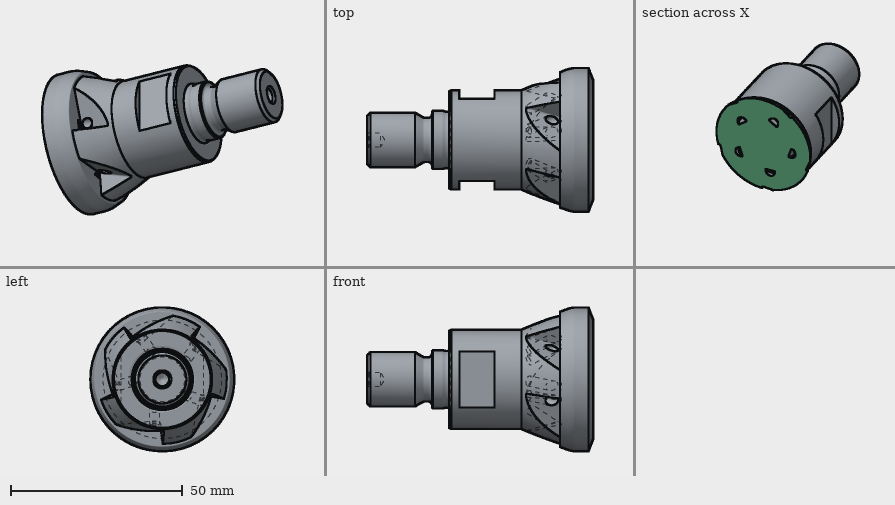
import cadquery as cq
import math

total_length = 66.0
neck_start_x = 16.75
neck_end_x = 17.95
neck_fillet = 0.9
neck_cone_angle = math.radians(30)
collar_start_x = neck_end_x + neck_fillet
collar_end_x = 22.1
undercut_start_x = 22.9
undercut_end_x = 23.5
body_start_x = 23.95
body_end_x = 45.0
head_start_x = 56.2

thread_dia = 16.0
neck_dia = 13.0
collar_dia = 17.0
undercut_dia = 16.55
face_recess_dia = 19.4
body_dia = 29.0
flare_mid_dia = 33.6
flare_end_dia = 37.6
head_rear_dia = 39.45
head_dia = 42.0
head_front_dia = 34.6

thread_chamfer = 1.0
collar_chamfer = 0.4
body_chamfer_length = 0.6
body_chamfer_height = 0.4
undercut_fillet = 0.65

rim_start_x = 60.45
rim_mid_x = 58.05
rim_mid_dia = 41.0
rim_end_x = 64.5
rim_rear_fillet = 0.25

flat_start_x = 26.9
flat_end_x = 37.1
across_flats = 24.0

centre_hole_dia = 4.0
centre_mouth_dia = 5.3
centre_hole_depth = 3.95
centre_cone_depth = 1.2

pocket_count = 5
pocket_apex = cq.Vector(46.2, -0.5, -15.05)
pocket_corner = cq.Vector(head_start_x, 0.8, -12.0)
pocket_wall_top = cq.Vector(head_start_x, -0.1, -18.75)
pocket_floor_end = cq.Vector(head_start_x, 13.65, -13.2)
pocket_fillet = 0.45
cutter_size = 26.4
cutter_overrun = 6.6

floor_hole_dia = 3.0
floor_hole_depth = 7.9
floor_hole_clearance = 2.65
floor_hole_centre = cq.Vector(53.7, 2.25, -12.8)
floor_hole_direction = cq.Vector(-1.5, 0.0, 1.0)


def make_body():
    """Revolve the spigot, collar, cylindrical body and curved flare about X."""
    cone_end_x = neck_start_x - neck_fillet * math.sin(neck_cone_angle)
    cone_end_radius = neck_dia / 2 + neck_fillet * (1 - math.cos(neck_cone_angle))
    thread_end_x = cone_end_x - (thread_dia / 2 - cone_end_radius) / math.tan(neck_cone_angle)
    flare_mid_x = (body_end_x + head_start_x) / 2
    return (
        cq.Workplane("XY")
        .moveTo(0, 0)
        .lineTo(0, thread_dia / 2 - thread_chamfer)
        .lineTo(thread_chamfer, thread_dia / 2)
        .lineTo(thread_end_x, thread_dia / 2)
        .lineTo(cone_end_x, cone_end_radius)
        .radiusArc((neck_start_x, neck_dia / 2), -neck_fillet)
        .lineTo(neck_end_x, neck_dia / 2)
        .radiusArc((collar_start_x, neck_dia / 2 + neck_fillet), -neck_fillet)
        .lineTo(collar_start_x, collar_dia / 2 - collar_chamfer)
        .lineTo(collar_start_x + collar_chamfer, collar_dia / 2)
        .lineTo(collar_end_x, collar_dia / 2)
        .lineTo(undercut_start_x, undercut_dia / 2)
        .lineTo(undercut_end_x, undercut_dia / 2)
        .radiusArc((undercut_end_x + undercut_fillet, undercut_dia / 2 + undercut_fillet), -undercut_fillet)
        .lineTo(body_start_x, face_recess_dia / 2)
        .lineTo(body_start_x, body_dia / 2 - body_chamfer_height)
        .lineTo(body_start_x + body_chamfer_length, body_dia / 2)
        .lineTo(body_end_x, body_dia / 2)
        .threePointArc((flare_mid_x, flare_mid_dia / 2), (head_start_x, flare_end_dia / 2))
        .lineTo(head_start_x, 0)
        .close()
        .revolve(360, (0, 0), (1, 0))
    )


def make_head():
    """Revolve the disc at the large end; its rear flank is slightly crowned."""
    return (
        cq.Workplane("XY")
        .moveTo(head_start_x, 0)
        .lineTo(head_start_x, head_rear_dia / 2)
        .threePointArc((rim_mid_x, rim_mid_dia / 2), (rim_start_x, head_dia / 2))
        .lineTo(rim_end_x, head_dia / 2)
        .lineTo(total_length, head_front_dia / 2)
        .lineTo(total_length, 0)
        .close()
        .revolve(360, (0, 0), (1, 0))
        .edges("<X")
        .fillet(rim_rear_fillet)
    )


def make_flats():
    """Two blocks that leave opposite wrench flats facing -Y and +Y."""
    length = flat_end_x - flat_start_x
    block = cq.Workplane("XY").box(length, body_dia, body_dia)
    offset = (across_flats + body_dia) / 2
    middle_x = (flat_start_x + flat_end_x) / 2
    return block.translate((middle_x, offset, 0)).union(block.translate((middle_x, -offset, 0)))


def make_centre_hole():
    """Countersunk blind hole with a conical bottom, on the X axis."""
    mouth_depth = (centre_mouth_dia - centre_hole_dia) / 2
    return (
        cq.Workplane("XY")
        .moveTo(0, 0)
        .lineTo(0, centre_mouth_dia / 2)
        .lineTo(mouth_depth, centre_hole_dia / 2)
        .lineTo(centre_hole_depth, centre_hole_dia / 2)
        .lineTo(centre_hole_depth + centre_cone_depth, 0)
        .close()
        .revolve(360, (0, 0), (1, 0))
    )


def make_pocket():
    """V-shaped cutter swept along the corner line where pocket wall and floor meet."""
    corner_line = pocket_corner - pocket_apex
    along = corner_line.normalized()
    floor_line = pocket_floor_end - pocket_corner
    wall_line = pocket_wall_top - pocket_corner
    floor_dir = (floor_line - along * floor_line.dot(along)).normalized()
    wall_dir = (wall_line - along * wall_line.dot(along)).normalized()
    start = pocket_apex - along * cutter_overrun
    section = cq.Plane(origin=start.toTuple(), xDir=floor_dir.toTuple(), normal=along.toTuple())
    wall_tip = section.toLocalCoords(start + wall_dir * cutter_size)
    return (
        cq.Workplane(section)
        .polyline([(0, 0), (cutter_size, 0), (cutter_size + wall_tip.x, wall_tip.y), (wall_tip.x, wall_tip.y)])
        .close()
        .extrude(corner_line.Length + 2 * cutter_overrun)
        .edges(cq.selectors.NearestToPointSelector(((pocket_apex + pocket_corner) * 0.5).toTuple()))
        .fillet(pocket_fillet)
    )


def make_floor_hole():
    """Slanted blind hole that starts clear of the pocket floor."""
    direction = floor_hole_direction.normalized()
    start = floor_hole_centre - direction * floor_hole_clearance
    length = floor_hole_depth + floor_hole_clearance
    return cq.Workplane(obj=cq.Solid.makeCylinder(floor_hole_dia / 2, length, start, direction))


def around_axis(tool):
    """Copies of a tool spaced evenly about the X axis."""
    return [tool.rotate((0, 0, 0), (1, 0, 0), i * 360 / pocket_count) for i in range(pocket_count)]


result = make_body().cut(make_flats()).cut(make_centre_hole())
for pocket in around_axis(make_pocket()):
    result = result.cut(pocket)
result = result.union(make_head())
for hole in around_axis(make_floor_hole()):
    result = result.cut(hole)